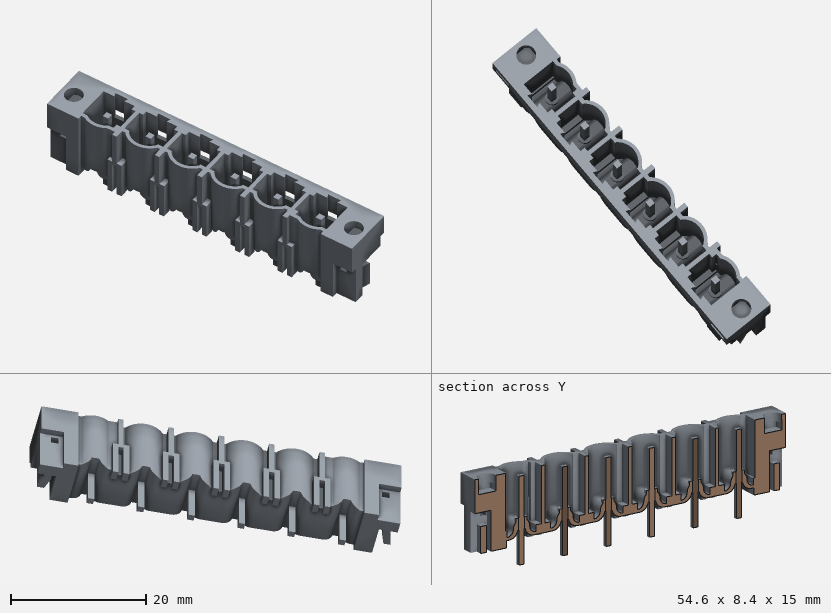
import cadquery as cq
import math


length = 54.6
pin_count = 6
pin_row_length = 38.1
pitch = pin_row_length / (pin_count - 1)
pin_x = [index * pitch - pin_row_length / 2 for index in range(pin_count)]
divider_x = [(left + right) / 2 for left, right in zip(pin_x, pin_x[1:])]

depth = 8.4
front_y = -3.75
back_y = front_y + depth
rear_wall_y = 3.75
top_z = 11.85
body_bottom_z = 1.15
overhang_height = 3.45
overhang_z = top_z - overhang_height
divider_front_y = -2.3
end_cell_front_y = -3.05

pin_width = 1.0
pin_tail = 3.1
pin_tip_z = 10.9

barrel_radius = 3.65
bore_radius = 3.1
socket_half_width = 2.8
socket_rear_y = 3.1
window_rear_y = 2.3
window_front_y = -1.65
end_cell_socket_front_y = -2.45
divider_thickness = 0.65
window_half_width = (pitch - divider_thickness) / 2

ledge_z = 2.75
trough_half_width = 2.5
ridge_radius = 1.5
ridge_flat_half_width = 0.75
trough_radius = trough_half_width - ridge_radius
ridge_top_z = ledge_z + math.sqrt(ridge_radius**2 - ridge_flat_half_width**2)
collar_radius = 1.05
collar_height = 0.4

key_slot_mouth_half_width = 0.9
key_slot_back_half_width = 1.15
key_slot_floor_z = 7.55

relief_top_z = 2.45
relief_half_width = 0.6
relief_radius = 1.65

rib_width = 0.8
foot_width = 2.5
foot_top_z = 6.3
fork_slot_top_z = 5.6

end_block_width = 5.6
screw_x = 25.05
screw_hole_radius = 1.5
nut_slot_top_z = top_z - 1.4
nut_slot_floor_z = top_z - 2.45
front_recess_width = 3.45
front_recess_depth = 1.0
front_recess_top_z = 6.95
side_recess_width = 2.85
side_recess_front_y = -1.0
side_recess_top_z = 6.45
peephole_size = 1.15

latch_height = 4.3
latch_thickness = 1.1
latch_root_inset = 1.1
latch_tip_inset = 0.5
latch_bend_y = -0.15
latch_tip_y = 1.65


def block(x_range, y_range, z_range):
    """Box between the given limits on each axis."""
    (x0, x1), (y0, y1), (z0, z1) = x_range, y_range, z_range
    return cq.Workplane("XY").box(x1 - x0, y1 - y0, z1 - z0, centered=False).translate((x0, y0, z0))


def post(x, radius, z0, z1):
    """Upright cylinder centred on the pin row."""
    return cq.Workplane("XY", origin=(x, 0, z0)).circle(radius).extrude(z1 - z0)


def circle_point(center_x, center_z, radius, degrees):
    """Point on a circle in the XZ plane."""
    angle = math.radians(degrees)
    return (center_x + radius * math.cos(angle), center_z + radius * math.sin(angle))


def extrude_full_depth(profile):
    """Extrude a closed XZ outline through the whole depth of the housing."""
    return profile.extrude(-depth).translate((0, front_y, 0))


def make_pin(x):
    half = pin_width / 2
    return block((x - half, x + half), (-half, half), (-pin_tail, pin_tip_z))


def make_shell():
    """Walls and barrels before the sockets are hollowed out."""
    half = length / 2
    inner = half - end_block_width
    shell = block((-half, half), (front_y, back_y), (overhang_z, top_z))
    shell = shell.cut(block((-inner, inner), (front_y, divider_front_y), (overhang_z, top_z)))
    shell = shell.union(block((-inner, inner), (divider_front_y, rear_wall_y), (body_bottom_z, top_z)))
    plate_edge = divider_x[-1] + rib_width / 2
    plate_width = inner - plate_edge
    for x0 in (-inner, plate_edge):
        plate = block((x0, x0 + plate_width), (end_cell_front_y, divider_front_y), (body_bottom_z, top_z))
        shell = shell.union(plate)
    for x0 in (-half, inner):
        end_block = block((x0, x0 + end_block_width), (front_y, rear_wall_y), (0, top_z))
        shell = shell.union(end_block)
    for x in pin_x:
        shell = shell.union(post(x, barrel_radius, body_bottom_z, top_z))
    return shell


def make_rib(x):
    """Upright rib with a forked foot."""
    y_range = (front_y, divider_front_y)
    half_rib = rib_width / 2
    half_foot = foot_width / 2
    rib = block((x - half_rib, x + half_rib), y_range, (fork_slot_top_z, top_z))
    foot = block((x - half_foot, x + half_foot), y_range, (0, foot_top_z))
    fork_slot = block((x - half_rib, x + half_rib), y_range, (0, fork_slot_top_z))
    return foot.cut(fork_slot).union(rib)


def socket_front_y(index):
    """Front of the straight socket sides, deeper in the two end cells."""
    is_end_cell = index in (0, pin_count - 1)
    return end_cell_socket_front_y if is_end_cell else window_front_y


def make_socket_opening(index):
    """Socket space above the ledges, on both sides of the trough."""
    x = pin_x[index]
    z_range = (ledge_z, top_z)
    y_range = (socket_front_y(index), socket_rear_y)
    left = socket_half_width if index == 0 else window_half_width
    right = socket_half_width if index == pin_count - 1 else window_half_width
    opening = block((x - socket_half_width, x + socket_half_width), y_range, z_range)
    window = block((x - left, x + right), (window_front_y, window_rear_y), z_range)
    trough_space = block((x - trough_half_width, x + trough_half_width), y_range, z_range)
    return opening.union(window).cut(trough_space)


def make_trough(index):
    """Socket space over the curved floor, rounded at the front."""
    x = pin_x[index]
    sides = (x - trough_half_width, x + trough_half_width)
    z_range = (0, top_z)
    plan = post(x, bore_radius, 0, top_z).intersect(block(sides, (front_y, 0), z_range))
    plan = plan.union(block(sides, (socket_front_y(index), socket_rear_y), z_range))
    ridge_edge_angle = math.degrees(math.acos(ridge_flat_half_width / ridge_radius))
    left_center = x - trough_half_width
    right_center = x + trough_half_width
    floor_outline = (
        cq.Workplane("XZ")
        .moveTo(left_center, top_z)
        .lineTo(left_center, ledge_z - trough_radius)
        .threePointArc(circle_point(left_center, ledge_z, trough_radius, -45), (x - ridge_radius, ledge_z))
        .threePointArc(
            circle_point(x, ledge_z, ridge_radius, 180 - ridge_edge_angle / 2),
            (x - ridge_flat_half_width, ridge_top_z),
        )
        .lineTo(x + ridge_flat_half_width, ridge_top_z)
        .threePointArc(
            circle_point(x, ledge_z, ridge_radius, ridge_edge_angle / 2),
            (x + ridge_radius, ledge_z),
        )
        .threePointArc(
            circle_point(right_center, ledge_z, trough_radius, 225),
            (right_center, ledge_z - trough_radius),
        )
        .lineTo(right_center, top_z)
        .close()
    )
    return extrude_full_depth(floor_outline).intersect(plan)


def make_key_slot(x):
    """Dovetail slot; below the overhang it breaks out through the rear wall."""
    mouth = key_slot_mouth_half_width
    back = key_slot_back_half_width
    outline = [
        (x - mouth, socket_rear_y),
        (x + mouth, socket_rear_y),
        (x + back, rear_wall_y),
        (x - back, rear_wall_y),
    ]
    slot = cq.Workplane("XY", origin=(0, 0, key_slot_floor_z)).polyline(outline).close()
    return slot.extrude(top_z - key_slot_floor_z)


def make_underside_relief(x):
    """Groove along Y whose flanks round out into the underside."""
    arc_z = body_bottom_z + relief_radius
    top_angle = math.asin((arc_z - relief_top_z) / relief_radius)
    arc_offset = relief_half_width + relief_radius * math.cos(top_angle)
    mid_angle = math.degrees(top_angle) / 2 + 45
    left_mid = circle_point(x - arc_offset, arc_z, relief_radius, -mid_angle)
    right_mid = circle_point(x + arc_offset, arc_z, relief_radius, 180 + mid_angle)
    relief = (
        cq.Workplane("XZ")
        .moveTo(x - arc_offset, body_bottom_z)
        .threePointArc(left_mid, (x - relief_half_width, relief_top_z))
        .lineTo(x + relief_half_width, relief_top_z)
        .threePointArc(right_mid, (x + arc_offset, body_bottom_z))
        .close()
    )
    return extrude_full_depth(relief)


def make_left_end_cuts():
    """Screw hole, nut slot and recesses of the left end block."""
    left = -length / 2
    nut_x = (-screw_x - screw_hole_radius, -screw_x + screw_hole_radius)
    peephole_x = (-screw_x - peephole_size / 2, -screw_x + peephole_size / 2)
    cuts = post(-screw_x, screw_hole_radius, nut_slot_top_z, top_z)
    cuts = cuts.union(block(nut_x, (-screw_hole_radius, back_y), (nut_slot_floor_z, nut_slot_top_z)))
    front_recess_y = front_y + front_recess_depth
    cuts = cuts.union(
        block((left, left + front_recess_width), (front_y, front_recess_y), (0, front_recess_top_z))
    )
    cuts = cuts.union(
        block((left, left + side_recess_width), (side_recess_front_y, rear_wall_y), (0, side_recess_top_z))
    )
    peephole_z = (side_recess_top_z - peephole_size, side_recess_top_z)
    return cuts.union(block(peephole_x, (front_recess_y, side_recess_front_y), peephole_z))


def make_left_latch():
    """Bent arm that reaches back into the side recess from its front wall."""
    root_x = latch_root_inset - length / 2
    tip_x = latch_tip_inset - length / 2
    outline = [
        (root_x, side_recess_front_y),
        (root_x, latch_bend_y),
        (tip_x, latch_tip_y),
        (tip_x + latch_thickness, latch_tip_y),
        (root_x + latch_thickness, latch_bend_y),
        (root_x + latch_thickness, side_recess_front_y),
    ]
    return cq.Workplane("XY").polyline(outline).close().extrude(latch_height)


def make_housing():
    housing = make_shell()
    for index, x in enumerate(pin_x):
        housing = housing.cut(make_socket_opening(index))
        housing = housing.cut(make_trough(index))
        housing = housing.cut(make_key_slot(x))
        housing = housing.cut(make_underside_relief(x))
        housing = housing.union(post(x, collar_radius, ledge_z, ridge_top_z + collar_height))
        housing = housing.cut(make_pin(x))
    for x in divider_x:
        housing = housing.union(make_rib(x))
    end_cuts = make_left_end_cuts()
    housing = housing.cut(end_cuts).cut(end_cuts.mirror("YZ"))
    latch = make_left_latch()
    return housing.union(latch).union(latch.mirror("YZ"))


housing = make_housing()
pins = [make_pin(x) for x in pin_x]

result = cq.Compound.makeCompound([housing.val(), *[pin.val() for pin in pins]])